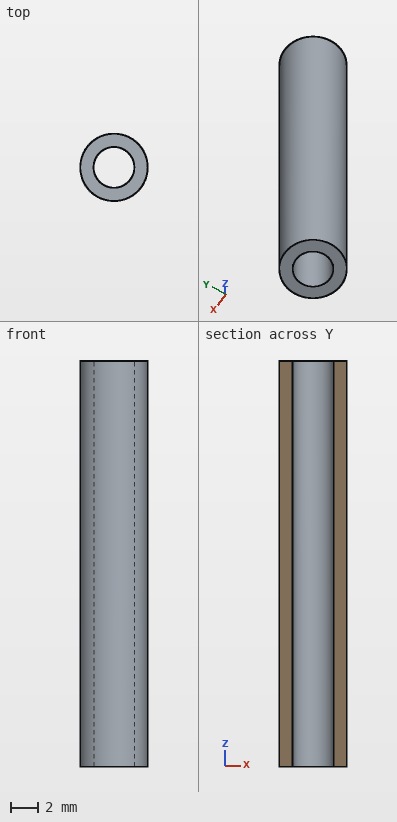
import cadquery as cq

length = 30.0
outer_diameter = length / 6
bore_diameter = length / 10

result = (
    cq.Workplane("XY")
    .circle(outer_diameter / 2)
    .circle(bore_diameter / 2)
    .extrude(length)
)